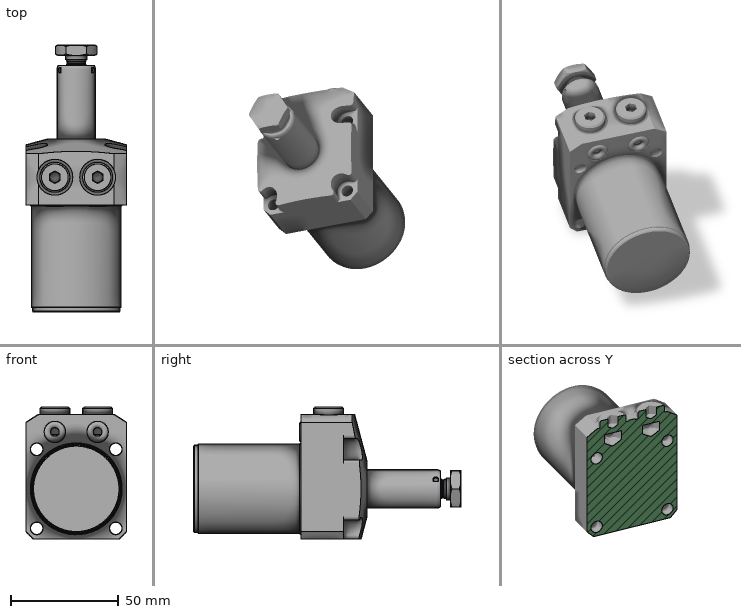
import cadquery as cq
import math


WIDTH = 47.0
HEIGHT = 61.8

HALF_WIDTH = WIDTH / 2
BLOCK_TOP = 34.8
BLOCK_DEPTH = 31.0
TOP_CHAMFER_WIDTH = 5.9
TOP_CHAMFER_HEIGHT = 3.7
BOTTOM_CHAMFER = 3.5
CONE_START_RADIUS = 13.0
CONE_ANGLE = 15.0
OUTSIDE = 6.2

HOLE_OFFSET = 18.5
HOLE_RADIUS = 2.9
RECESS_RADIUS = 5.0
RECESS_FLOOR = 20.0
RECESS_LIP = 1.5

PORT_X = 10.0
PORT_Y = 13.0
SPOT_RADIUS = 8.4
SPOT_DEPTH = 0.4
PLUG_RADIUS = 7.0
PLUG_TOP = HEIGHT - HALF_WIDTH
PLUG_CHAMFER = 0.7
PLUG_BOTTOM = 30.0
SOCKET_FLATS = 5.0
SOCKET_DEPTH = 4.4
PORT_RADIUS = 4.4
PORT_BOTTOM = 25.5
DRILL_POINT_ANGLE = 118.0

FACE_PORT_Z = 26.6
SEAL_INNER_RADIUS = 2.0
SEAL_SECTION_RADIUS = 1.5
SEAL_PROTRUSION = 0.6

BARREL_RADIUS = 21.0
BARREL_LENGTH = 47.9
COLLAR_RADIUS = 21.5
COLLAR_LENGTH = 0.5
BARREL_CHAMFER = 0.2
CAP_RADIUS = 20.5
CAP_CHAMFER = 0.5
CAP_END = 50.0

BOLT_END = 74.7
HEAD_THICKNESS = 4.9
HEAD_FLATS = 17.0
HEAD_FACE_RADIUS = 8.6
HEAD_CHAMFER_ANGLE = 30.0
FLANGE_RADIUS = 5.1
FLANGE_THICKNESS = 1.9
NECK_RADIUS = 4.5
GROOVE_RADIUS = 4.2
GROOVE_START = 65.6
GROOVE_END = 67.2
GROOVE_FLANK = 0.5
PLUNGER_RADIUS = 9.0
PLUNGER_END = 65.2
PLUNGER_END_RADIUS = 8.4
PLUNGER_EDGE_RADIUS = 8.7
PLUNGER_EDGE_LENGTH = 0.6
PLUNGER_TAPER_LENGTH = 1.6
WRENCH_HOLE_Y = 63.0
WRENCH_HOLE_RADIUS = 1.2
WRENCH_HOLE_DEPTH = 1.0
WRENCH_HOLE_COUNT = 3
WRENCH_HOLE_START = 30.0

COS_45 = math.cos(math.radians(45))
SEAL_RADIUS = SEAL_INNER_RADIUS + SEAL_SECTION_RADIUS
SEAL_SEAT_RADIUS = SEAL_RADIUS + SEAL_SECTION_RADIUS
SEAL_SEAT_DEPTH = 2 * SEAL_SECTION_RADIUS - SEAL_PROTRUSION
HEAD_START = BOLT_END - HEAD_THICKNESS
FLANGE_START = HEAD_START - FLANGE_THICKNESS


def cylinder_along_y(radius, y_start, y_end, x=0.0, z=0.0):
    return cq.Workplane(cq.Solid.makeCylinder(
        radius, y_end - y_start, cq.Vector(x, y_start, z), cq.Vector(0, 1, 0)))


def cylinder_along_z(radius, z_start, z_end, x, y):
    return cq.Workplane(cq.Solid.makeCylinder(radius, z_end - z_start, cq.Vector(x, y, z_start)))


def drill_point(radius, z_base, x, y):
    """Cone left by a drill below a vertical hole that ends at z_base."""
    height = radius / math.tan(math.radians(DRILL_POINT_ANGLE / 2))
    return cq.Workplane(cq.Solid.makeCone(0, radius, height, cq.Vector(x, y, z_base - height)))


def turned(radius_y_points):
    """Solid of revolution about the Y axis from (radius, y) points."""
    return cq.Workplane("XY").polyline(radius_y_points).close().revolve(360, (0, 0, 0), (0, 1, 0))


def extruded_along_y(sketch, y_start, y_end):
    """Extrude a closed XZ sketch (normal along -Y) from y_start to y_end."""
    return sketch.extrude(y_start - y_end).translate((0, y_start, 0))


def make_block():
    right_side = [
        (HALF_WIDTH - BOTTOM_CHAMFER, -HALF_WIDTH),
        (HALF_WIDTH, BOTTOM_CHAMFER - HALF_WIDTH),
        (HALF_WIDTH, BLOCK_TOP - TOP_CHAMFER_HEIGHT),
        (HALF_WIDTH - TOP_CHAMFER_WIDTH, BLOCK_TOP),
    ]
    left_side = [(-x, z) for x, z in reversed(right_side)]
    outline = cq.Workplane("XZ").polyline(right_side + left_side).close()
    block = extruded_along_y(outline, 0, BLOCK_DEPTH)

    reach = HALF_WIDTH + BLOCK_TOP
    reach_y = BLOCK_DEPTH - (reach - CONE_START_RADIUS) * math.tan(math.radians(CONE_ANGLE))
    cone = turned([(0, 0), (reach, 0), (reach, reach_y), (CONE_START_RADIUS, BLOCK_DEPTH), (0, BLOCK_DEPTH)])
    return block.intersect(cone)


def upper_recess():
    """Screw head recess that runs straight out through the right side, with a rounded mouth."""
    mouth = HALF_WIDTH
    z = HOLE_OFFSET
    sag = RECESS_LIP * (1 - COS_45)
    sketch = (
        cq.Workplane("XZ")
        .moveTo(HOLE_OFFSET, z + RECESS_RADIUS)
        .threePointArc((HOLE_OFFSET - RECESS_RADIUS, z), (HOLE_OFFSET, z - RECESS_RADIUS))
        .lineTo(mouth - RECESS_LIP, z - RECESS_RADIUS)
        .threePointArc((mouth - sag, z - RECESS_RADIUS - sag), (mouth, z - RECESS_RADIUS - RECESS_LIP))
        .lineTo(mouth + OUTSIDE, z - RECESS_RADIUS - RECESS_LIP)
        .lineTo(mouth + OUTSIDE, z + RECESS_RADIUS + RECESS_LIP)
        .lineTo(mouth, z + RECESS_RADIUS + RECESS_LIP)
        .threePointArc((mouth - sag, z + RECESS_RADIUS + sag), (mouth - RECESS_LIP, z + RECESS_RADIUS))
        .close()
    )
    return extruded_along_y(sketch, RECESS_FLOOR, BLOCK_DEPTH)


def lower_recess():
    """Screw head recess that opens the lower right corner, rounded into both outer faces."""
    across = HALF_WIDTH - RECESS_LIP - HOLE_OFFSET
    centre_distance = RECESS_RADIUS + RECESS_LIP
    along = math.sqrt(centre_distance**2 - across**2)
    touch_across = across * RECESS_RADIUS / centre_distance
    touch_along = along * RECESS_RADIUS / centre_distance
    middle_angle = math.atan2(along, across) / 2
    middle_across = across + RECESS_LIP * math.sin(middle_angle)
    middle_along = along - RECESS_LIP * math.cos(middle_angle)
    face = HALF_WIDTH - HOLE_OFFSET
    inner = -RECESS_RADIUS * COS_45
    far = face + OUTSIDE

    corner = cq.Plane(origin=(HOLE_OFFSET, 0, -HOLE_OFFSET), xDir=(1, 0, 0), normal=(0, 1, 0))
    sketch = (
        cq.Workplane(corner)
        .moveTo(face, -along)
        .threePointArc((middle_across, -middle_along), (touch_across, -touch_along))
        .threePointArc((inner, inner), (-touch_along, touch_across))
        .threePointArc((-middle_along, middle_across), (-along, face))
        .lineTo(-along, far)
        .lineTo(far, far)
        .lineTo(far, -along)
        .close()
    )
    return sketch.extrude(BLOCK_DEPTH - RECESS_FLOOR).translate((0, RECESS_FLOOR, 0))


def cut_mounting_holes(body):
    for x in (-HOLE_OFFSET, HOLE_OFFSET):
        for z in (-HOLE_OFFSET, HOLE_OFFSET):
            body = body.cut(cylinder_along_y(HOLE_RADIUS, 0, BLOCK_DEPTH, x, z))
    for recess in (upper_recess(), lower_recess()):
        body = body.cut(recess).cut(recess.mirror("YZ"))
    return body


def make_barrel():
    """Barrel below the mounting face, with a small collar at its root and a stepped end cap."""
    return turned([
        (0, 0),
        (COLLAR_RADIUS, 0),
        (BARREL_RADIUS, -COLLAR_LENGTH),
        (BARREL_RADIUS, BARREL_CHAMFER - BARREL_LENGTH),
        (BARREL_RADIUS - BARREL_CHAMFER, -BARREL_LENGTH),
        (CAP_RADIUS, -BARREL_LENGTH),
        (CAP_RADIUS, CAP_CHAMFER - CAP_END),
        (CAP_RADIUS - CAP_CHAMFER, -CAP_END),
        (0, -CAP_END),
    ])


def make_plunger():
    """Plunger with a tapered end, and the grooved neck and flange below the bolt head."""
    plunger = turned([
        (0, BLOCK_DEPTH),
        (PLUNGER_RADIUS, BLOCK_DEPTH),
        (PLUNGER_RADIUS, PLUNGER_END - PLUNGER_TAPER_LENGTH),
        (PLUNGER_EDGE_RADIUS, PLUNGER_END - PLUNGER_EDGE_LENGTH),
        (PLUNGER_END_RADIUS, PLUNGER_END),
        (NECK_RADIUS, PLUNGER_END),
        (NECK_RADIUS, GROOVE_START),
        (GROOVE_RADIUS, GROOVE_START + GROOVE_FLANK),
        (GROOVE_RADIUS, GROOVE_END - GROOVE_FLANK),
        (NECK_RADIUS, GROOVE_END),
        (NECK_RADIUS, FLANGE_START),
        (FLANGE_RADIUS, FLANGE_START),
        (FLANGE_RADIUS, HEAD_START),
        (0, HEAD_START),
    ])
    hole_floor = PLUNGER_RADIUS - WRENCH_HOLE_DEPTH
    hole = cylinder_along_z(WRENCH_HOLE_RADIUS, hole_floor, PLUNGER_RADIUS + OUTSIDE, 0, WRENCH_HOLE_Y)
    hole = hole.union(drill_point(WRENCH_HOLE_RADIUS, hole_floor, 0, WRENCH_HOLE_Y))
    for index in range(WRENCH_HOLE_COUNT):
        angle = WRENCH_HOLE_START + index * 360 / WRENCH_HOLE_COUNT
        plunger = plunger.cut(hole.rotate((0, 0, 0), (0, 1, 0), 90 - angle))
    return plunger


def make_bolt_head():
    """Hexagon head with two corners along X, its corners chamfered at both ends."""
    corner_radius = HEAD_FLATS / 2 / math.cos(math.pi / 6)
    hexagon = cq.Workplane("XZ").polygon(6, 2 * corner_radius)
    head = extruded_along_y(hexagon, HEAD_START, BOLT_END)
    rise = (corner_radius - HEAD_FACE_RADIUS) * math.tan(math.radians(HEAD_CHAMFER_ANGLE))
    return head.intersect(turned([
        (0, HEAD_START),
        (HEAD_FACE_RADIUS, HEAD_START),
        (corner_radius, HEAD_START + rise),
        (corner_radius, BOLT_END - rise),
        (HEAD_FACE_RADIUS, BOLT_END),
        (0, BOLT_END),
    ]))


def add_plug(body, x):
    """Screw plug standing in a shallow spot face, with a hexagon socket that ends in a drill point."""
    body = body.cut(cylinder_along_z(SPOT_RADIUS, BLOCK_TOP - SPOT_DEPTH, PLUG_TOP, x, PORT_Y))
    plug = cylinder_along_z(PLUG_RADIUS, BLOCK_TOP - SPOT_DEPTH, PLUG_TOP, x, PORT_Y)
    body = body.union(plug.faces(">Z").chamfer(PLUG_CHAMFER))

    corner_radius = SOCKET_FLATS / 2 / math.cos(math.pi / 6)
    socket_floor = PLUG_TOP - SOCKET_DEPTH
    socket = (
        cq.Workplane("XY")
        .polygon(6, 2 * corner_radius)
        .extrude(SOCKET_DEPTH)
        .rotate((0, 0, 0), (0, 0, 1), 90)
        .translate((x, PORT_Y, socket_floor))
    )
    return body.cut(socket).cut(drill_point(SOCKET_FLATS / 2, socket_floor, x, PORT_Y))


def cut_port(body, x):
    """Oil bore closed by the plug, and the face port with its seal seat that leads into it."""
    body = body.cut(cylinder_along_z(PORT_RADIUS, PORT_BOTTOM, PLUG_BOTTOM, x, PORT_Y))
    body = body.cut(drill_point(PORT_RADIUS, PORT_BOTTOM, x, PORT_Y))
    body = body.cut(cylinder_along_y(SEAL_SEAT_RADIUS, 0, SEAL_SEAT_DEPTH, x, FACE_PORT_Z))
    return body.cut(cylinder_along_y(SEAL_INNER_RADIUS, 0, PORT_Y, x, FACE_PORT_Z))


def make_support():
    support = cut_mounting_holes(make_block())
    for x in (-PORT_X, PORT_X):
        support = add_plug(support, x)
        support = cut_port(support, x)
    return support.union(make_barrel()).union(make_plunger()).union(make_bolt_head())


def make_seal_ring(x):
    """Round-section ring resting on the floor and wall of its seat, standing proud of the face."""
    centre = cq.Vector(x, SEAL_SECTION_RADIUS - SEAL_PROTRUSION, FACE_PORT_Z)
    return cq.Solid.makeTorus(SEAL_RADIUS, SEAL_SECTION_RADIUS, centre, cq.Vector(0, 1, 0))


support = make_support()
seal_rings = [make_seal_ring(x) for x in (-PORT_X, PORT_X)]

result = cq.Compound.makeCompound([support.val(), *seal_rings])